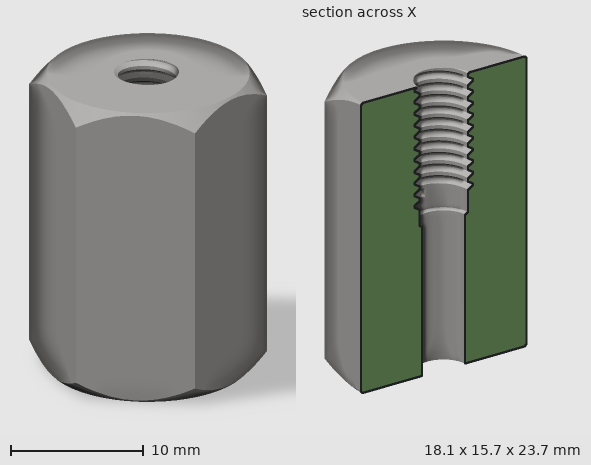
import cadquery as cq
import math

length = 23.7
across_flats = 15.68
across_corners = across_flats / math.cos(math.radians(30))
end_face_radius = 7.68
chamfer_height = across_corners / 2 - end_face_radius

bore_radius = 2.01
thread_pitch = 0.95
thread_turns = 11
crest_radius = 2.27
root_radius = 2.75
root_flat = thread_pitch / 8
mouth_angle = 180.0
bore_overlap = 0.02
threaded_depth = thread_pitch * (thread_turns + 1)
drill_slope = math.tan(math.radians(30))
flank_slope = math.tan(math.radians(30))


def chamfered_hexagon():
    """Hexagonal bar with points on +X and -X, coned off at both ends."""
    bar = cq.Workplane("XY").polygon(6, across_corners).extrude(length)
    tip = across_corners / 2
    turned_blank = (
        cq.Workplane("XZ")
        .moveTo(0, 0)
        .lineTo(end_face_radius, 0)
        .lineTo(tip, chamfer_height)
        .lineTo(tip, length - chamfer_height)
        .lineTo(end_face_radius, length)
        .lineTo(0, length)
        .close()
        .revolve(360, (0, 0), (0, 1))
    )
    return bar.intersect(turned_blank)


def stepped_bore():
    """Wide threaded bore that narrows through a drill-point cone to a plain through hole."""
    cone_top = length - threaded_depth
    cone_bottom = cone_top - (crest_radius - bore_radius) * drill_slope
    return (
        cq.Workplane("XZ")
        .moveTo(0, 0)
        .lineTo(bore_radius, 0)
        .lineTo(bore_radius, cone_bottom)
        .lineTo(crest_radius, cone_top)
        .lineTo(crest_radius, length)
        .lineTo(0, length)
        .close()
        .revolve(360, (0, 0), (0, 1))
    )


def groove_turn(bottom):
    """One full turn of the thread groove, starting on +X with its centre at the given height."""
    inner_radius = crest_radius - bore_overlap
    root_half = root_flat / 2
    inner_half = root_half + (root_radius - inner_radius) * flank_slope
    path = cq.Wire.makeHelix(thread_pitch, thread_pitch, crest_radius)
    turn = (
        cq.Workplane("XZ")
        .moveTo(inner_radius, -inner_half)
        .lineTo(root_radius, -root_half)
        .lineTo(root_radius, root_half)
        .lineTo(inner_radius, inner_half)
        .close()
        .sweep(cq.Workplane(path), isFrenet=True)
    )
    return turn.translate((0, 0, bottom))


def cut_thread(body):
    """Cut the groove turn by turn, downwards from a turn that breaks through the top face."""
    top_turn = length - thread_pitch * mouth_angle / 360
    for index in range(thread_turns):
        body = body.cut(groove_turn(top_turn - thread_pitch * index))
    return body


result = cut_thread(chamfered_hexagon().cut(stepped_bore())).solids()